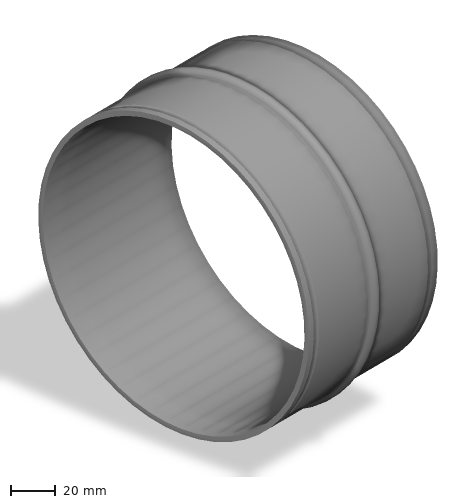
import cadquery as cq

length = 87.0
outer_radius = 80.0
inner_radius = 77.4

bead_peak_radius = 82.5
bead_width = 6.5
bead_blend_radius = 1.0

groove_depth = 0.7
groove_width = 3.3
end_land = 3.3

half_length = length / 2
groove_centre = half_length - end_land - groove_width / 2
groove_floor_radius = outer_radius - groove_depth


def add_outer_arc(profile, centre, width, peak_radius):
    """Run along the outer wall to an arc centred at the given Y, then follow it."""
    return (
        profile.lineTo(centre - width / 2, outer_radius)
        .threePointArc((centre, peak_radius), (centre + width / 2, outer_radius))
    )


wall = cq.Workplane("YZ").moveTo(-half_length, inner_radius).lineTo(-half_length, outer_radius)
wall = add_outer_arc(wall, -groove_centre, groove_width, groove_floor_radius)
wall = add_outer_arc(wall, 0, bead_width, bead_peak_radius)
wall = add_outer_arc(wall, groove_centre, groove_width, groove_floor_radius)
wall = wall.lineTo(half_length, outer_radius).lineTo(half_length, inner_radius).close()
tube = wall.revolve(360, (0, 0, 0), (1, 0, 0))

bead_feet = cq.selectors.BoxSelector(
    (-inner_radius, -bead_width, -inner_radius),
    (inner_radius, bead_width, inner_radius),
)
result = tube.edges(bead_feet).fillet(bead_blend_radius)